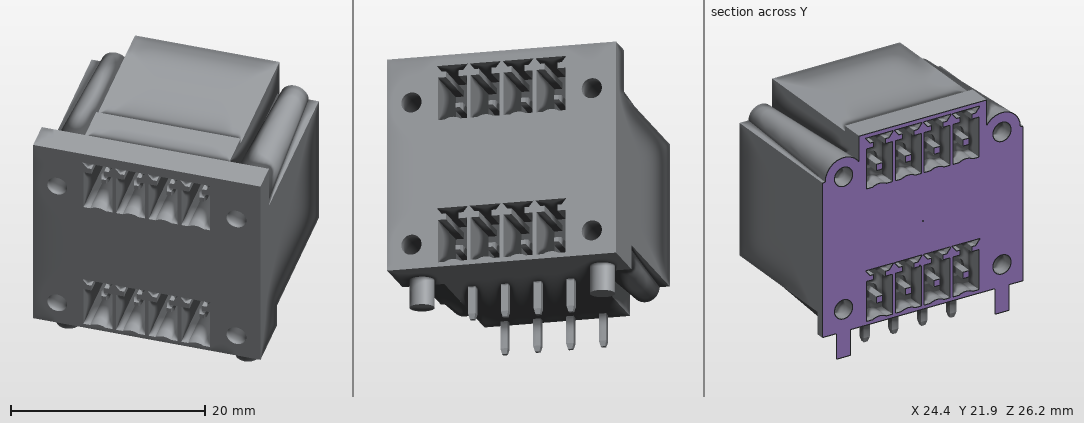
import cadquery as cq

WIDTH = 24.4
DEPTH = 21.9
TOTAL_HEIGHT = 26.2
PIN_DROP = 3.48
HOUSING_HEIGHT = TOTAL_HEIGHT - PIN_DROP

FLANGE_THICKNESS = 3.1
BLOCK_WIDTH = 15.5
BLOCK_HEIGHT = 21.48
STEP_HEIGHT = 22.1
STEP_END = 7.8
WING_END = 21.15
FOOT_DEPTH = 6.03

HOLE_X = 9.62
HOLE_DIAMETER = 2.15
BOSS_FRONT_RADIUS = 2.35
BOSS_REAR_RADIUS = 1.5
ROW_PITCH = 15.3
LOWER_ROW_Z = 2.6
UPPER_ROW_Z = LOWER_ROW_Z + ROW_PITCH
ROWS = (LOWER_ROW_Z, UPPER_ROW_Z)

CONTACT_COUNT = 4
CONTACT_SPAN = 10.5
CONTACT_PITCH = CONTACT_SPAN / (CONTACT_COUNT - 1)
CONTACTS = [i * CONTACT_PITCH - CONTACT_SPAN / 2 for i in range(CONTACT_COUNT)]
SOCKET_DEPTH = 7.07
SOCKET_HALF_WIDTH = 1.55
SOCKET_FLOOR = -2.12
SOCKET_SHOULDER = 2.44
NECK_HALF_WIDTH = 0.68
NECK_TOP = 3.07
KEY_BASE_HALF_WIDTH = 1.15
KEY_TOP_HALF_WIDTH = 1.65
KEY_TOP = 3.7
RIDGE_HALF_WIDTH = 0.85
RIDGE_TOP = -1.89
RECESS_DIAMETER = 2.0
RECESS_DEPTH = 0.52

PIN_SIDE = 0.79
PIN_TIP_SIDE = 0.47
PIN_TIP_LENGTH = 0.58
CONTACT_TIP_Y = 2.1
FRONT_PIN_Y = 8.0
REAR_PIN_Y = 20.7
PIN_EMBEDMENT = 0.52

PEG_DIAMETER = 2.6
PEG_LENGTH = 2.95
PEG_Y = 4.2


def block(width, y_start, y_end, z_start, z_end):
    """Box centred on X between the given Y and Z limits."""
    size = (width, y_end - y_start, z_end - z_start)
    return cq.Workplane("XY").box(*size, centered=(True, False, False)).translate((0, y_start, z_start))


def facing_back(x, y, z):
    """Workplane whose normal points along +Y; local x is -X and local y is +Z."""
    return cq.Workplane(cq.Plane((x, y, z), xDir=(-1, 0, 0), normal=(0, 1, 0)))


def housing():
    body = block(WIDTH, 0, FLANGE_THICKNESS, 0, HOUSING_HEIGHT)
    body = body.union(block(BLOCK_WIDTH, 0, DEPTH, 0, BLOCK_HEIGHT))
    body = body.union(block(BLOCK_WIDTH, 0, STEP_END, 0, STEP_HEIGHT))
    body = body.union(block(WIDTH, 0, WING_END, LOWER_ROW_Z, UPPER_ROW_Z))
    return body.union(block(WIDTH, 0, FOOT_DEPTH, 0, LOWER_ROW_Z))


def tapered_boss(x, z):
    length = WING_END - FLANGE_THICKNESS
    cone = cq.Solid.makeCone(
        BOSS_FRONT_RADIUS, BOSS_REAR_RADIUS, length, cq.Vector(x, FLANGE_THICKNESS, z), cq.Vector(0, 1, 0)
    )
    return cq.Workplane(cone)


def screw_hole(x, z):
    return facing_back(x, 0, z).circle(HOLE_DIAMETER / 2).extrude(DEPTH)


def socket(x, z):
    """Keyed socket with a ridged floor and a round recess at its closed end."""
    cavity = (
        facing_back(x, 0, z)
        .moveTo(-SOCKET_HALF_WIDTH, SOCKET_FLOOR)
        .lineTo(-RIDGE_HALF_WIDTH, SOCKET_FLOOR)
        .threePointArc((0, RIDGE_TOP), (RIDGE_HALF_WIDTH, SOCKET_FLOOR))
        .lineTo(SOCKET_HALF_WIDTH, SOCKET_FLOOR)
        .lineTo(SOCKET_HALF_WIDTH, SOCKET_SHOULDER)
        .lineTo(NECK_HALF_WIDTH, SOCKET_SHOULDER)
        .lineTo(NECK_HALF_WIDTH, NECK_TOP)
        .lineTo(KEY_BASE_HALF_WIDTH, NECK_TOP)
        .lineTo(KEY_TOP_HALF_WIDTH, KEY_TOP)
        .lineTo(-KEY_TOP_HALF_WIDTH, KEY_TOP)
        .lineTo(-KEY_BASE_HALF_WIDTH, NECK_TOP)
        .lineTo(-NECK_HALF_WIDTH, NECK_TOP)
        .lineTo(-NECK_HALF_WIDTH, SOCKET_SHOULDER)
        .lineTo(-SOCKET_HALF_WIDTH, SOCKET_SHOULDER)
        .close()
        .extrude(SOCKET_DEPTH)
    )
    recess = facing_back(x, SOCKET_DEPTH, z).circle(RECESS_DIAMETER / 2).extrude(RECESS_DEPTH)
    return cavity.union(recess)


def square_pin(plane, length):
    """Square pin that starts with its narrow tip on the plane and runs along the plane normal."""
    tip = (
        cq.Workplane(plane)
        .rect(PIN_TIP_SIDE, PIN_TIP_SIDE)
        .workplane(offset=PIN_TIP_LENGTH)
        .rect(PIN_SIDE, PIN_SIDE)
        .loft(ruled=True)
    )
    shank = cq.Workplane(plane).workplane(offset=PIN_TIP_LENGTH).rect(PIN_SIDE, PIN_SIDE)
    return tip.union(shank.extrude(length - PIN_TIP_LENGTH))


def contact_pin(x, z):
    length = SOCKET_DEPTH + RECESS_DEPTH + PIN_EMBEDMENT - CONTACT_TIP_Y
    return square_pin(facing_back(x, CONTACT_TIP_Y, z).plane, length)


def solder_pin(x, y):
    return square_pin(cq.Plane.XY((x, y, -PIN_DROP)), PIN_DROP + PIN_EMBEDMENT)


def locating_peg(x):
    return cq.Workplane("XY", origin=(x, PEG_Y, -PEG_LENGTH)).circle(PEG_DIAMETER / 2).extrude(PEG_LENGTH)


result = housing()

for hole_x in (-HOLE_X, HOLE_X):
    for row_z in ROWS:
        result = result.union(tapered_boss(hole_x, row_z))
        result = result.cut(screw_hole(hole_x, row_z))
    result = result.union(locating_peg(hole_x))

for contact_x in CONTACTS:
    for row_z in ROWS:
        result = result.cut(socket(contact_x, row_z))
        result = result.union(contact_pin(contact_x, row_z))
    for pin_y in (FRONT_PIN_Y, REAR_PIN_Y):
        result = result.union(solder_pin(contact_x, pin_y))